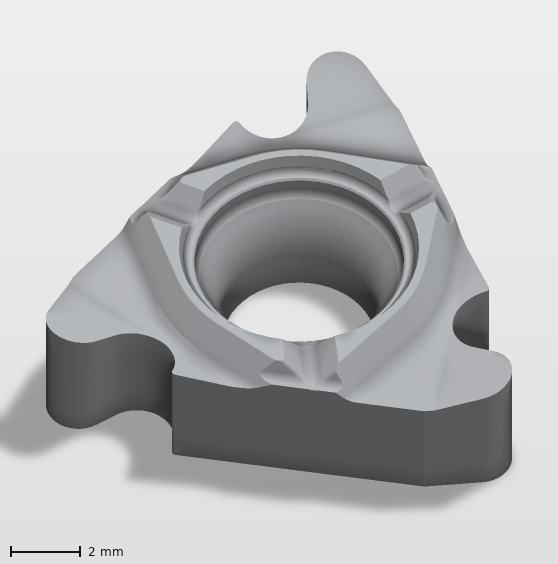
import cadquery as cq
import math

sector_angles = (0, 120, 240)

height = 4.2
ledge_z = 3.37

overall_y = 13.55
side_offset = 4.75
nose_x, nose_y = -3.41, -5.81
recess_x, recess_y = -1.27, -5.79
recess_radius = 1.1
flank_angle = math.radians(15)
tip_radius = 0.12

blend_radius = 0.4
ramp_start = 4.72
ramp_angle = math.radians(15)
stock_radius = 8.4

island_top_radius = 3.67
island_wall_angle = 48.0
island_corner_radius = 1.63
island_arc_start = math.radians(-1.8)
island_arc_end = math.radians(30)
island_edge_radius = 0.05

land_z = 3.7
land_corner = 4.47
land_wall_top = 4.25
land_blend_radius = 0.26
groove_half_width = 0.76
groove_floor_half_width = 0.15
groove_floor_z = 3.69
groove_blend_radius = 0.3
groove_shift = -0.05
groove_direction = -45
groove_mouth_radius = 0.14

bore_radius = 4.4 / 2
bore_top_z = 1.35
seat_radius = 2.85
seat_top_z = 2.97
collar_radius = 3.01
collar_bottom_z = 3.24
lip_z = 3.66
lip_edge = 0.05
lip_outer_radius = 3.15
rim_wall_z = 3.86
rim_wall_radius = 3.33
rim_radius = 3.44


def rotated(point, degrees):
    """Turn an XY point about the bore axis."""
    angle = math.radians(degrees)
    x, y = point
    return (x * math.cos(angle) - y * math.sin(angle), x * math.sin(angle) + y * math.cos(angle))


def polar(center, radius, angle):
    return (center[0] + radius * math.cos(angle), center[1] + radius * math.sin(angle))


def around(shape):
    """Union of one copy of the shape in each sector."""
    copies = cq.Workplane("XY")
    for angle in sector_angles:
        copies = copies.union(shape.rotate((0, 0, 0), (0, 0, 1), angle))
    return copies


nose = (nose_x, nose_y)
recess = (recess_x, recess_y)
nose_radius = (overall_y - (rotated(nose, 240)[1] - nose_y)) / 2
nose_bottom = (nose_x, nose_y - nose_radius)
recess_top = (recess_x, recess_y + recess_radius)

flank_start = polar(nose, nose_radius, math.pi + flank_angle)
kink_x = -side_offset
kink_y = flank_start[1] + (flank_start[0] - kink_x) / math.tan(flank_angle)

center_distance = math.dist(nose, recess)
center_angle = math.atan2(recess_y - nose_y, recess_x - nose_x)
tangent_angle = center_angle - math.acos((nose_radius + recess_radius) / center_distance)
inner_flank_start = polar(nose, nose_radius, tangent_angle)
inner_flank_end = polar(recess, recess_radius, tangent_angle + math.pi)

side_direction = -60
side_normal = math.radians(side_direction)
recess_to_side = side_offset - (recess_x * math.cos(side_normal) + recess_y * math.sin(side_normal))
tip = polar(recess, recess_radius, side_normal + math.acos(recess_to_side / recess_radius))


def outline_prism():
    outline = cq.Workplane("XY").moveTo(kink_x, kink_y)
    for angle in sector_angles:
        outline = (
            outline.lineTo(*rotated(flank_start, angle))
            .threePointArc(rotated(nose_bottom, angle), rotated(inner_flank_start, angle))
            .lineTo(*rotated(inner_flank_end, angle))
            .threePointArc(rotated(recess_top, angle), rotated(tip, angle))
        )
        if angle != sector_angles[-1]:
            outline = outline.lineTo(*rotated((kink_x, kink_y), angle + 120))
    prism = outline.close().extrude(height)
    for angle in sector_angles:
        tip_edge = cq.selectors.NearestToPointSelector((*rotated(tip, angle), height / 2))
        prism = prism.edges(tip_edge).fillet(tip_radius)
    return prism


def blank_with_island():
    """Ledge blank carrying the island: arcs about the bore joined by tangent lines to rounded corners."""
    wall_run = (height - ledge_z) / math.tan(math.radians(island_wall_angle))
    base = island_top_radius + wall_run
    bottom = math.radians(-90)
    corner_direction = (bottom + island_arc_start) / 2
    setback = (base - island_corner_radius) / math.cos(island_arc_start - corner_direction)
    corner_center = polar((0, 0), setback, corner_direction)
    corner_start = polar(corner_center, island_corner_radius, bottom)
    corner_middle = polar(corner_center, island_corner_radius, corner_direction)
    corner_end = polar(corner_center, island_corner_radius, island_arc_start)
    arc_start = polar((0, 0), base, island_arc_start)
    arc_middle = polar((0, 0), base, (island_arc_start + island_arc_end) / 2)
    arc_end = polar((0, 0), base, island_arc_end)

    profile = cq.Workplane("XY").workplane(offset=ledge_z).moveTo(*corner_start)
    for angle in sector_angles:
        profile = (
            profile.threePointArc(rotated(corner_middle, angle), rotated(corner_end, angle))
            .lineTo(*rotated(arc_start, angle))
            .threePointArc(rotated(arc_middle, angle), rotated(arc_end, angle))
        )
        if angle != sector_angles[-1]:
            profile = profile.lineTo(*rotated(corner_start, angle + 120))
    island = profile.close().extrude(height - ledge_z, taper=90 - island_wall_angle)
    island = island.faces(">Z").edges().fillet(island_edge_radius)

    blank = cq.Workplane("XY").circle(stock_radius).extrude(ledge_z).union(island)
    reach = math.hypot(*corner_middle)
    near_ledge = 0.01
    foot = cq.selectors.BoxSelector(
        (-reach, -reach, ledge_z - near_ledge),
        (reach, reach, ledge_z + near_ledge),
        boundingbox=True,
    )
    return blank.edges(foot).fillet(blend_radius)


def ramp():
    """Wedge rising outwards, with a tangent arc at its crease."""
    arc_run = blend_radius * math.tan(ramp_angle / 2)
    rise_end = ledge_z + (stock_radius - ramp_start) * math.tan(ramp_angle)
    arc_end = (
        -ramp_start - arc_run * math.cos(ramp_angle),
        ledge_z + arc_run * math.sin(ramp_angle),
    )
    return (
        cq.Workplane("YZ", origin=(-stock_radius, 0, 0))
        .moveTo(-ramp_start + 2 * arc_run, ledge_z)
        .lineTo(-ramp_start + arc_run, ledge_z)
        .tangentArcPoint(arc_end, relative=False)
        .lineTo(-stock_radius, rise_end)
        .lineTo(-stock_radius, 0)
        .lineTo(-ramp_start + 2 * arc_run, 0)
        .close()
        .extrude(2 * stock_radius)
    )


def land_cut():
    """Clears the island above the land along the straight side at -X."""
    return (
        cq.Workplane("XZ", origin=(0, side_offset, 0))
        .moveTo(-stock_radius, land_z)
        .lineTo(-land_corner, land_z)
        .lineTo(-land_wall_top, height)
        .lineTo(-stock_radius, height)
        .close()
        .extrude(2 * side_offset)
        .edges(cq.selectors.NearestToPointSelector((-land_corner, 0, land_z)))
        .fillet(land_blend_radius)
    )


def groove_cut():
    """Groove with sloping walls and a rounded floor, running outwards from the bore."""
    return (
        cq.Workplane("YZ")
        .moveTo(groove_shift - groove_half_width, height)
        .lineTo(groove_shift - groove_floor_half_width, groove_floor_z)
        .lineTo(groove_shift + groove_floor_half_width, groove_floor_z)
        .lineTo(groove_shift + groove_half_width, height)
        .close()
        .extrude(stock_radius)
        .faces("<Z")
        .edges("|X")
        .fillet(groove_blend_radius)
        .rotate((0, 0, 0), (0, 0, 1), groove_direction)
    )


def round_groove_mouths(body):
    """Rounds the edges where the groove walls meet the sloping wall above the land."""
    middle_z = (land_z + height) / 2
    middle_half_width = (groove_floor_half_width + groove_half_width) / 2
    land_wall_middle = (land_corner + land_wall_top) / 2
    skew = math.radians(side_direction - groove_direction)
    for angle in sector_angles:
        for side in (-1, 1):
            across = groove_shift + side * middle_half_width
            along = (land_wall_middle - across * math.sin(skew)) / math.cos(skew)
            x, y = rotated((along, across), groove_direction + angle)
            mouth_edge = cq.selectors.NearestToPointSelector((x, y, middle_z))
            body = body.edges(mouth_edge).fillet(groove_mouth_radius)
    return body


def bore_cut():
    """Bore, curved screw seat, collar and the sunken lip inside the island, as one revolved shape."""
    blend_run = collar_radius - seat_radius
    blend_drop = collar_bottom_z - seat_top_z
    seat_blend_radius = (blend_run**2 + blend_drop**2) / (2 * blend_run)
    half_sweep = math.atan2(blend_run, blend_drop)
    blend_center = (collar_radius - seat_blend_radius, collar_bottom_z)
    seat_blend_middle = polar(blend_center, seat_blend_radius, -half_sweep)

    return (
        cq.Workplane("XZ")
        .lineTo(bore_radius, 0)
        .lineTo(bore_radius, bore_top_z)
        .tangentArcPoint((seat_radius, seat_top_z), relative=False)
        .threePointArc(seat_blend_middle, (collar_radius, collar_bottom_z))
        .lineTo(collar_radius, lip_z - lip_edge)
        .lineTo(collar_radius + lip_edge, lip_z)
        .lineTo(lip_outer_radius, lip_z)
        .tangentArcPoint((rim_wall_radius, rim_wall_z), relative=False)
        .lineTo(rim_radius, height)
        .lineTo(0, height)
        .close()
        .revolve(360, (0, 0, 0), (0, 1, 0))
    )


body = outline_prism().intersect(blank_with_island().union(around(ramp())))
body = body.cut(around(land_cut())).cut(around(groove_cut())).cut(bore_cut())
result = round_groove_mouths(body)